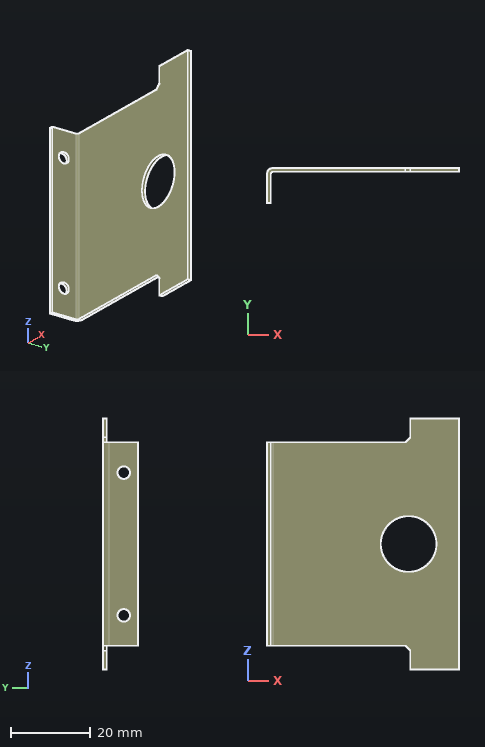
import cadquery as cq

length = 48.5
depth = 8.9
height = 63.4
thickness = 1.0

inner_bend_radius = 0.5
outer_bend_radius = inner_bend_radius + thickness

body_height = 51.35
wide_end_length = 12.35
taper = 1.2

plate_hole_diameter = 14.0
plate_hole_from_far_end = 12.75
flange_hole_diameter = 3.1
flange_hole_spacing = 36.0
flange_hole_from_edge = 3.6


def bent_body():
    """L-shaped sheet with a rounded bend, centred on Z = 0."""
    sheet = (
        cq.Workplane("XY")
        .polyline([
            (0, -depth),
            (thickness, -depth),
            (thickness, -thickness),
            (length, -thickness),
            (length, 0),
            (0, 0),
        ])
        .close()
        .extrude(body_height / 2, both=True)
    )
    sheet = sheet.edges(cq.selectors.NearestToPointSelector((0, 0, 0))).fillet(outer_bend_radius)
    inner_corner = cq.selectors.NearestToPointSelector((thickness, -thickness, 0))
    return sheet.edges(inner_corner).fillet(inner_bend_radius)


def wide_end():
    """Taller end of the plate, including the tapered step corners."""
    step_x = length - wide_end_length
    half_body = body_height / 2
    upper_half = [
        (step_x - taper, half_body),
        (step_x, half_body + taper),
        (step_x, height / 2),
        (length, height / 2),
    ]
    lower_half = [(x, -z) for x, z in reversed(upper_half)]
    return cq.Workplane("XZ").polyline(upper_half + lower_half).close().extrude(thickness)


def plate_hole():
    """Cutter for the large round opening in the plate."""
    return (
        cq.Workplane("XZ")
        .center(length - plate_hole_from_far_end, 0)
        .circle(plate_hole_diameter / 2)
        .extrude(thickness)
    )


def flange_holes():
    """Cutter for the two small holes through the flange."""
    hole_y = flange_hole_from_edge - depth
    return (
        cq.Workplane("YZ")
        .pushPoints([(hole_y, side * flange_hole_spacing / 2) for side in (-1, 1)])
        .circle(flange_hole_diameter / 2)
        .extrude(thickness)
    )


bracket = bent_body().union(wide_end()).cut(plate_hole()).cut(flange_holes())
result = bracket.translate((-length / 2, depth / 2, 0))